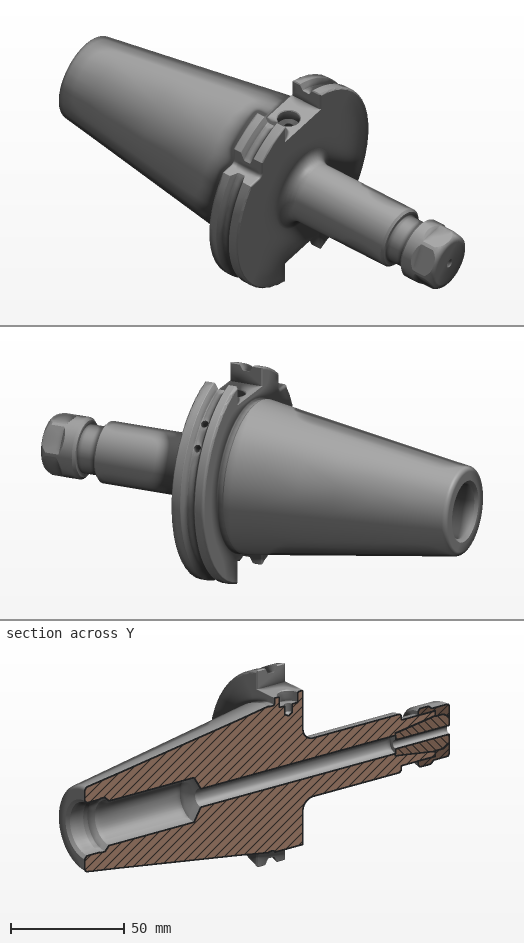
import cadquery as cq
import math


total_length = 201.8
gauge_x = 101.7
flange_start_x = 105.0
flange_end_x = 120.8
shank_end_x = 175.1
nut_start_x = 184.2
neck_end_x = 194.0

gauge_radius = 35.0
taper_ratio = 7 / 24
small_end_radius = gauge_radius - gauge_x * taper_ratio / 2
small_end_fillet = 2.2
relief_diameter = 69.2
relief_radius = relief_diameter / 2
relief_chamfer_length = 0.6
relief_root_fillet = 0.6

flange_diameter = 97.5
flange_radius = flange_diameter / 2
flange_back_fillet = 1.2
flange_front_fillet = 0.8
groove_center_x = 112.8
groove_depth = 3.0
groove_bottom_radius = flange_radius - groove_depth
groove_bottom_width = 3.5
groove_half_angle = 30.0
groove_edge_fillet = 0.5

slot_width = 25.6
slot_edge_chamfer = 0.6
top_slot_floor_z = 38.0
bottom_slot_floor_z = -35.5

notch_wall_y = -30.5
notch_floor_z = 29.9
notch_corner_fillet = 1.8

recess_radius = 5.0
recess_mouth_chamfer = 0.5
recess_depth = 5.0
pilot_hole_radius = 2.0
pilot_hole_depth = 4.0
drill_tip_half_angle = 59.0

radial_hole_radius = 1.71
radial_hole_depth = 6.0
radial_hole_angles = (42.2, 57.0)

shank_diameter = 28.0
shank_radius = shank_diameter / 2
shank_root_fillet = 5.5
shank_end_chamfer = 1.0
neck_diameter = 22.0
neck_radius = neck_diameter / 2
neck_root_fillet = 0.6

bore_mouth_radius = 14.0
pilot_bore_radius = 12.5
pilot_bore_depth = 8.7
undercut_diameter = 25.6
undercut_radius = undercut_diameter / 2
undercut_end_x = 11.3
thread_bore_radius = 10.5
thread_bore_end_x = 60.5
through_bore_radius = 4.2

collet_diameter = 16.7
collet_radius = collet_diameter / 2
collet_taper_angle = 8.0
collet_taper_length = 22.2
collet_nose_diameter = 12.7
collet_nose_radius = collet_nose_diameter / 2
collet_nose_angle = 30.0
collet_bore_radius = 2.0

nut_radius = shank_radius
nut_across_flats = 25.0
hex_sides = 6
nut_rear_chamfer = 1.2
nut_end_chamfer_length = 3.5
nut_end_chamfer_depth = 1.6
nut_end_fillet = 3.0
upper_hex_start_x = 191.9
lower_hex_start_x = 193.0
hex_run_out_angle = 40.0

collet_back_x = neck_end_x - collet_taper_length
collet_back_radius = collet_radius - collet_taper_length * math.tan(math.radians(collet_taper_angle))
collet_nose_length = (collet_radius - collet_nose_radius) / math.tan(math.radians(collet_nose_angle))
collet_nose_x = total_length - collet_nose_length


def turned(points):
    """Revolve a closed (x, radius) outline about the X axis."""
    return cq.Workplane("XY").polyline(points).close().revolve(360, (0, 0, 0), (1, 0, 0))


def disc(start_x, end_x, radius):
    return cq.Workplane("YZ", origin=(start_x, 0, 0)).circle(radius).extrude(end_x - start_x)


def make_taper():
    taper = turned([
        (0, 0),
        (0, small_end_radius),
        (gauge_x, gauge_radius),
        (gauge_x + relief_chamfer_length, relief_radius),
        (flange_start_x, relief_radius),
        (flange_start_x, 0),
    ])
    return taper.faces("<X").edges().fillet(small_end_fillet)


def make_root_ring(shoulder_x, radius, fillet, side):
    """Concave fillet between a cylinder and the shoulder it meets; side is the X direction away from it."""
    arc_drop = fillet * (1 - math.cos(math.radians(45)))
    return (
        cq.Workplane("XY")
        .moveTo(shoulder_x, 0)
        .lineTo(shoulder_x, radius + fillet)
        .threePointArc(
            (shoulder_x + side * arc_drop, radius + arc_drop),
            (shoulder_x + side * fillet, radius),
        )
        .lineTo(shoulder_x + side * fillet, 0)
        .close()
        .revolve(360, (0, 0, 0), (1, 0, 0))
    )


def cut_notch(flange):
    size = flange_radius
    notch = (
        cq.Workplane("XY")
        .box(flange_end_x - flange_start_x, size, size, centered=False)
        .translate((flange_start_x, notch_wall_y - size, notch_floor_z))
        .edges("|X and >Y and <Z")
        .fillet(notch_corner_fillet)
    )
    return flange.cut(notch)


def cut_groove(flange):
    half_bottom = groove_bottom_width / 2
    half_top = half_bottom + groove_depth * math.tan(math.radians(groove_half_angle))
    groove = turned([
        (groove_center_x - half_bottom, groove_bottom_radius),
        (groove_center_x + half_bottom, groove_bottom_radius),
        (groove_center_x + half_top, flange_radius),
        (groove_center_x - half_top, flange_radius),
    ])
    groove_zone = cq.selectors.BoxSelector(
        (groove_center_x - half_top - groove_edge_fillet, -flange_diameter, -flange_diameter),
        (groove_center_x + half_top + groove_edge_fillet, flange_diameter, flange_diameter),
        boundingbox=True,
    )
    return flange.cut(groove).edges(groove_zone).edges("%CIRCLE").fillet(groove_edge_fillet)


def cut_slot(flange, floor_z):
    """Cut a drive slot from floor_z outward, with chamfered edges along its mouth and at both ends."""
    outward = math.copysign(1, floor_z)
    half_width = slot_width / 2
    mouth_z = outward * math.sqrt(flange_radius**2 - half_width**2)
    chamfer_z = mouth_z - outward * slot_edge_chamfer
    outer_z = outward * flange_radius
    outer_half_width = half_width + abs(outer_z - chamfer_z)
    slot = (
        cq.Workplane("YZ", origin=(flange_start_x, 0, 0))
        .polyline([
            (-half_width, floor_z),
            (half_width, floor_z),
            (half_width, chamfer_z),
            (outer_half_width, outer_z),
            (-outer_half_width, outer_z),
            (-half_width, chamfer_z),
        ])
        .close()
        .extrude(flange_end_x - flange_start_x)
    )
    flared_half_width = half_width + slot_edge_chamfer
    end_flares = (
        cq.Workplane("XY", origin=(0, 0, floor_z))
        .polyline([
            (flange_start_x, -flared_half_width),
            (flange_start_x + slot_edge_chamfer, -half_width),
            (flange_end_x - slot_edge_chamfer, -half_width),
            (flange_end_x, -flared_half_width),
            (flange_end_x, flared_half_width),
            (flange_end_x - slot_edge_chamfer, half_width),
            (flange_start_x + slot_edge_chamfer, half_width),
            (flange_start_x, flared_half_width),
        ])
        .close()
        .extrude(outer_z - floor_z)
    )
    return flange.cut(slot).cut(end_flares)


def cut_recess(flange):
    recess_floor = top_slot_floor_z - recess_depth
    tip_start = recess_floor - pilot_hole_depth
    tip_height = pilot_hole_radius / math.tan(math.radians(drill_tip_half_angle))
    recess = (
        cq.Workplane("XZ")
        .polyline([
            (0, top_slot_floor_z),
            (recess_radius + recess_mouth_chamfer, top_slot_floor_z),
            (recess_radius, top_slot_floor_z - recess_mouth_chamfer),
            (recess_radius, recess_floor),
            (pilot_hole_radius, recess_floor),
            (pilot_hole_radius, tip_start),
            (0, tip_start - tip_height),
        ])
        .close()
        .revolve(360, (0, 0, 0), (0, 1, 0))
        .translate((groove_center_x, 0, 0))
    )
    return flange.cut(recess)


def cut_radial_holes(flange):
    for angle in radial_hole_angles:
        hole = (
            cq.Workplane("XY", origin=(groove_center_x, 0, groove_bottom_radius - radial_hole_depth))
            .circle(radial_hole_radius)
            .extrude(groove_depth + radial_hole_depth)
            .rotate((0, 0, 0), (1, 0, 0), -angle)
        )
        flange = flange.cut(hole)
    return flange


def make_flange():
    flange = cut_notch(cut_groove(disc(flange_start_x, flange_end_x, flange_radius)))
    flange = flange.faces("<X").edges().fillet(flange_back_fillet)
    flange = flange.faces(">X").edges().fillet(flange_front_fillet)
    for floor_z in (top_slot_floor_z, bottom_slot_floor_z):
        flange = cut_slot(flange, floor_z)
    return cut_radial_holes(cut_recess(flange))


def make_shank():
    shank = disc(flange_end_x, shank_end_x, shank_radius).faces(">X").edges().chamfer(shank_end_chamfer)
    return shank.union(disc(shank_end_x, neck_end_x, neck_radius))


def make_holder_bore():
    """Pull-stud bore, drilled bore and the tapered collet seat, as one cutter."""
    mouth_chamfer = bore_mouth_radius - pilot_bore_radius
    thread_start_x = undercut_end_x + undercut_radius - thread_bore_radius
    drill_tip_depth = thread_bore_radius - through_bore_radius
    drill_tip_length = drill_tip_depth / math.tan(math.radians(drill_tip_half_angle))
    return turned([
        (0, 0),
        (0, bore_mouth_radius),
        (mouth_chamfer, pilot_bore_radius),
        (pilot_bore_depth, pilot_bore_radius),
        (pilot_bore_depth, undercut_radius),
        (undercut_end_x, undercut_radius),
        (thread_start_x, thread_bore_radius),
        (thread_bore_end_x, thread_bore_radius),
        (thread_bore_end_x + drill_tip_length, through_bore_radius),
        (collet_back_x, through_bore_radius),
        (collet_back_x, collet_back_radius),
        (neck_end_x, collet_radius),
        (neck_end_x, 0),
    ])


def make_holder():
    holder = make_taper().union(make_flange()).union(make_shank())
    holder = holder.union(make_root_ring(flange_start_x, relief_radius, relief_root_fillet, -1))
    holder = holder.union(make_root_ring(flange_end_x, shank_radius, shank_root_fillet, 1))
    holder = holder.union(make_root_ring(shank_end_x, neck_radius, neck_root_fillet, 1))
    return holder.cut(make_holder_bore())


def make_collet_blank():
    return turned([
        (collet_back_x, 0),
        (collet_back_x, collet_back_radius),
        (neck_end_x, collet_radius),
        (collet_nose_x, collet_radius),
        (total_length, collet_nose_radius),
        (total_length, 0),
    ])


def make_collet():
    return make_collet_blank().cut(disc(collet_back_x, total_length, collet_bore_radius))


def make_hex_envelope():
    """Hexagon with a flat on top; each flat runs out toward the holder on a sloping plane."""
    flat_distance = nut_across_flats / 2
    run_out_length = (nut_radius - flat_distance) / math.tan(math.radians(hex_run_out_angle))
    envelope = disc(nut_start_x, total_length, nut_radius)
    for side in range(hex_sides):
        angle = side * 360 / hex_sides
        faces_up = math.cos(math.radians(angle)) > 0
        flat_start_x = upper_hex_start_x if faces_up else lower_hex_start_x
        flat_cutter = (
            cq.Workplane("XZ")
            .polyline([
                (flat_start_x - run_out_length, nut_radius),
                (flat_start_x, flat_distance),
                (total_length, flat_distance),
                (total_length, nut_radius),
            ])
            .close()
            .extrude(nut_radius, both=True)
            .rotate((0, 0, 0), (1, 0, 0), angle)
        )
        envelope = envelope.cut(flat_cutter)
    return envelope


def make_nut():
    turned_blank = turned([
        (nut_start_x, 0),
        (nut_start_x, nut_radius - nut_rear_chamfer),
        (nut_start_x + nut_rear_chamfer, nut_radius),
        (total_length - nut_end_chamfer_length, nut_radius),
        (total_length, nut_radius - nut_end_chamfer_depth),
        (total_length, 0),
    ])
    turned_blank = turned_blank.faces(">X").edges().fillet(nut_end_fillet)
    nut = turned_blank.intersect(make_hex_envelope())
    nut = nut.cut(disc(nut_start_x, neck_end_x, neck_radius))
    return nut.cut(make_collet_blank())


holder = make_holder()
collet = make_collet()
nut = make_nut()

result = cq.Compound.makeCompound([holder.val(), collet.val(), nut.val()])